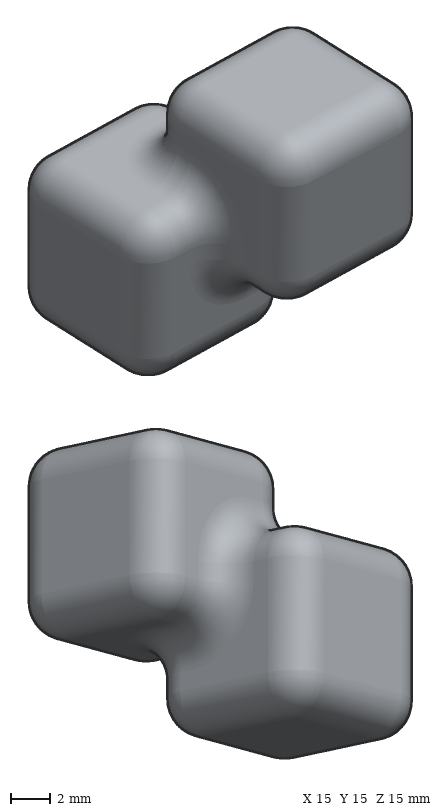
import cadquery as cq

overall = 15.0
cube_side = overall * 2 / 3
corner_step = overall - cube_side
edge_radius = cube_side / 5


def cube_at(corner):
    """Cube whose lowest corner sits at the same coordinate on X, Y and Z."""
    cube = cq.Workplane("XY").box(cube_side, cube_side, cube_side, centered=False)
    return cube.translate((corner, corner, corner))


lower_cube = cube_at(0)
upper_cube = cube_at(corner_step)
body = lower_cube.union(upper_cube)

result = body.edges().fillet(edge_radius)